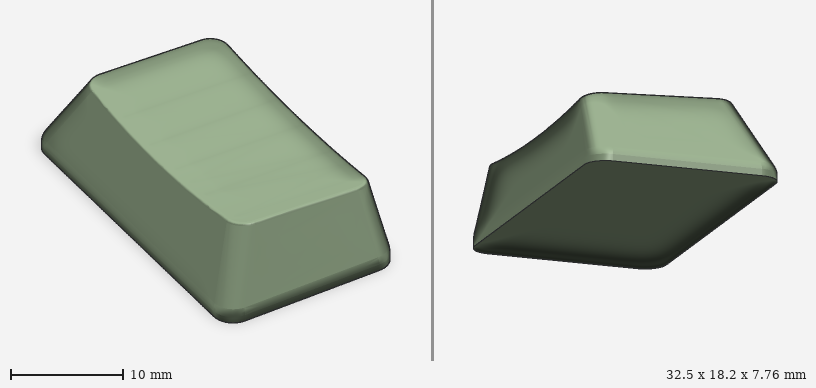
import cadquery as cq
import math

LENGTH = 32.45
WIDTH = 18.17

SKIRT_HEIGHT = 0.62
BLEND_HEIGHT = 0.7
BLANK_HEIGHT = 9.1

SIDE_DRAFT = 25.6
FRONT_DRAFT = 25.8
BACK_DRAFT = 5.0

DISH_RADIUS = 105.45
DISH_TILT = 2.75
DISH_FLOOR = 6.78

SKIRT_CORNER_RADIUS = 2.0
BLANK_CORNER_RADIUS = 1.8
RIM_RADIUS = 0.4


def slope(angle):
    """Tangent of an angle in degrees."""
    return math.tan(math.radians(angle))


def lean(draft, height):
    """Inward offset of a wall at a height: none, then parabolic, then straight."""
    rise = max(height - SKIRT_HEIGHT, 0)
    if rise < BLEND_HEIGHT:
        return slope(draft) * rise ** 2 / (2 * BLEND_HEIGHT)
    return slope(draft) * (rise - BLEND_HEIGHT / 2)


def outline(height, tilt=0.0):
    """Rounded rectangle around the cap where a plane, raised at the front by the tilt, cuts it."""
    side_lean = lean(SIDE_DRAFT, height)
    front_reach = (WIDTH / 2 - lean(FRONT_DRAFT, height)) / (1 + slope(FRONT_DRAFT) * slope(tilt))
    back_reach = (WIDTH / 2 - lean(BACK_DRAFT, height)) / (1 - slope(BACK_DRAFT) * slope(tilt))
    length = LENGTH - 2 * side_lean
    width = (front_reach + back_reach) / math.cos(math.radians(tilt))
    center_y = (back_reach - front_reach) / 2
    center = cq.Vector(0, center_y, height - center_y * slope(tilt))

    taper = side_lean / lean(SIDE_DRAFT, BLANK_HEIGHT)
    radius = SKIRT_CORNER_RADIUS + taper * (BLANK_CORNER_RADIUS - SKIRT_CORNER_RADIUS)
    sketch = cq.Sketch().rect(length, width).vertices().fillet(radius)
    return sketch.moved(cq.Location(center, cq.Vector(1, 0, 0), -tilt))


def make_blank():
    """Upright skirt, curved blend and leaning walls up to a top tilted like the dish."""
    blend_middle = SKIRT_HEIGHT + BLEND_HEIGHT / 2
    blend_top = SKIRT_HEIGHT + BLEND_HEIGHT
    skirt = cq.Workplane("XY").placeSketch(outline(0)).extrude(SKIRT_HEIGHT)
    blend = (
        cq.Workplane("XY")
        .placeSketch(outline(SKIRT_HEIGHT), outline(blend_middle), outline(blend_top))
        .loft()
    )
    walls = (
        cq.Workplane("XY")
        .placeSketch(outline(blend_top), outline(BLANK_HEIGHT, DISH_TILT))
        .loft(ruled=True)
    )
    return skirt.union(blend).union(walls)


def make_dish():
    """Cylinder that hollows the top along the length of its tilted axis."""
    return (
        cq.Workplane("XZ")
        .circle(DISH_RADIUS)
        .extrude(WIDTH, both=True)
        .translate((0, 0, DISH_RADIUS))
        .rotate((0, 0, 0), (1, 0, 0), -DISH_TILT)
        .translate((0, 0, DISH_FLOOR))
    )


def round_rim(body):
    """Round the edge loop around the dished top face."""
    dish_face = cq.selectors.NearestToPointSelector((0, 0, DISH_FLOOR))
    return body.faces(dish_face).edges().fillet(RIM_RADIUS)


dished = make_blank().cut(make_dish())
result = round_rim(dished)